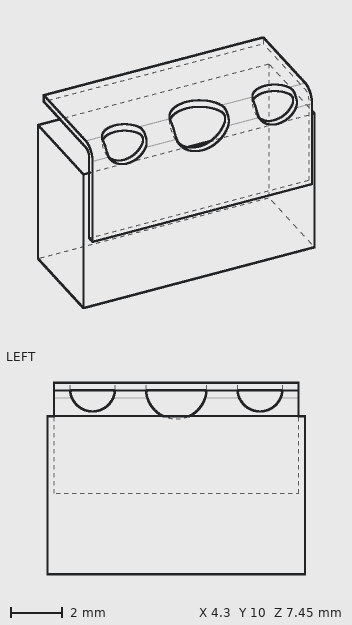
import cadquery as cq
import math

total_width = 4.3
total_length = 10.0
total_height = 7.45

sheet_thickness = 0.3
block_width = total_width - sheet_thickness
block_height = 6.15

strip_length = 9.5
bend_outer_radius = 0.6
bend_inner_radius = bend_outer_radius - sheet_thickness
bend_axis_x = total_width - bend_outer_radius
bend_axis_z = total_height - bend_outer_radius
half_bend_angle = 45.0

large_hole_radius = 1.17
small_hole_radius = 0.87
small_hole_offset = 3.25
bend_middle_radius = (bend_outer_radius + bend_inner_radius) / 2
hole_centre_x = bend_axis_x + bend_middle_radius * math.radians(half_bend_angle)
holes = [
    (-small_hole_offset, small_hole_radius),
    (0.0, large_hole_radius),
    (small_hole_offset, small_hole_radius),
]


def make_block():
    """Plain rectangular block standing on Z = 0, with its outer face on X = 0."""
    return cq.Workplane("XY").box(
        block_width, total_length, block_height, centered=(False, True, False)
    )


def bend_point(radius, degrees_from_vertical):
    """Point (x, z) on the bend, turning from straight up towards +X."""
    angle = math.radians(degrees_from_vertical)
    return (
        bend_axis_x + radius * math.sin(angle),
        bend_axis_z + radius * math.cos(angle),
    )


def make_half_strip():
    """Horizontal leg and the upper half of the bend, with the hole halves cut out."""
    half_strip = (
        cq.Workplane("XZ")
        .moveTo(0, total_height)
        .lineTo(*bend_point(bend_outer_radius, 0))
        .threePointArc(
            bend_point(bend_outer_radius, half_bend_angle / 2),
            bend_point(bend_outer_radius, half_bend_angle),
        )
        .lineTo(*bend_point(bend_inner_radius, half_bend_angle))
        .threePointArc(
            bend_point(bend_inner_radius, half_bend_angle / 2),
            bend_point(bend_inner_radius, 0),
        )
        .lineTo(0, total_height - sheet_thickness)
        .close()
        .extrude(strip_length / 2, both=True)
    )
    for hole_y, hole_radius in holes:
        punch = (
            cq.Workplane("XY")
            .center(hole_centre_x, hole_y)
            .circle(hole_radius)
            .extrude(total_height)
        )
        half_strip = half_strip.cut(punch)
    return half_strip


def make_strip():
    """The vertical leg mirrors the horizontal one across the middle of the bend."""
    upper_half = make_half_strip()
    lower_half = upper_half.mirror(
        cq.Vector(1, 0, -1), basePointVector=(bend_axis_x, 0, bend_axis_z)
    )
    return upper_half.union(lower_half)


result = make_block().union(make_strip())